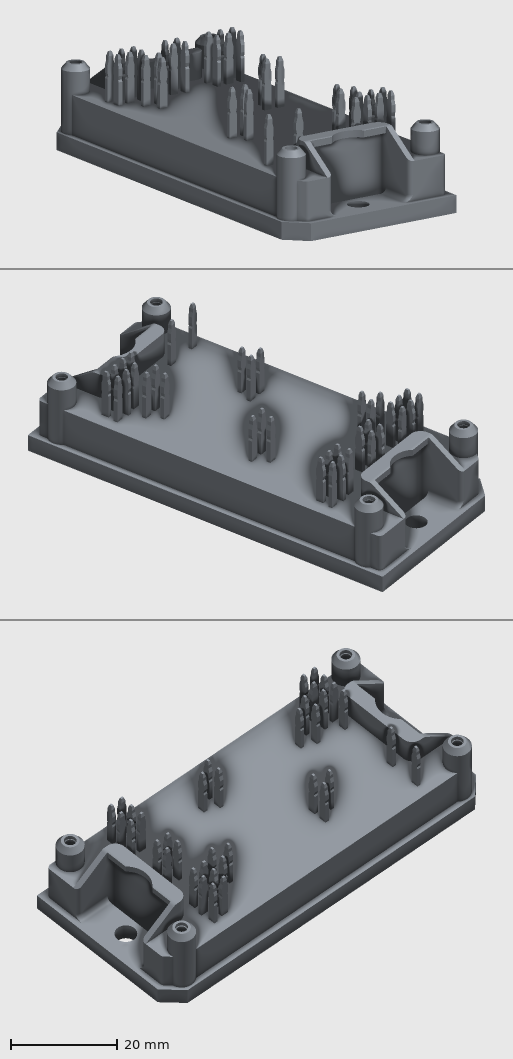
import cadquery as cq

QUARTER_TURN = 90

BASE_LENGTH = 82.0
BASE_WIDTH = 37.4
BASE_HEIGHT = 3.5
BASE_CORNER_CUT = 4.0
MOUNT_X = 35.5
MOUNT_HOLE_DIAMETER = 4.3

HOUSING_LENGTH = 79.4
HOUSING_WIDTH = 34.9
HOUSING_TOP = 11.35
HOUSING_CORNER_CUT = 3.0
HOUSING_CORNER_RADIUS = 1.0

BRACKET_TOP = 16.6
BRACKET_INNER_X = 28.75
BRACKET_WIDTH = 20.0
BRACKET_CORNER_RADIUS = 2.25
BRACKET_CREST_X = 32.1
BRACKET_CREST_RADIUS = 1.6

RECESS_WIDTH = 17.5
RECESS_INNER_X = 32.1
RECESS_EDGE_RADIUS = 1.0
FLOOR_FILLET_RADIUS = 1.2
LIP_BOTTOM = 15.2
LIP_NOTCH_RADIUS = 5.0
SLOT_INNER_X = 30.1
SLOT_CORNER_RADIUS = 0.9

POST_X = MOUNT_X
POST_Y = 15.4
POST_DIAMETER = 5.5
POST_TOP_DIAMETER = 3.5
POST_TOP = 17.1
POST_CONE_HEIGHT = 1.2
POST_HOLE_DIAMETER = 2.0
POST_HOLE_DEPTH = 6.0
POST_COUNTERBORE_DIAMETER = 2.4
POST_COUNTERBORE_DEPTH = 0.8

PIN_TOP = 21.23
PIN_WIDTH = 1.65
PIN_NECK_WIDTH = 1.3
PIN_TAPER_WIDTH = 1.1
PIN_TIP_WIDTH = 0.6
PIN_THICKNESS = 0.84
PIN_TIP_THICKNESS = 0.45
PIN_SHOULDER_Z = 16.0
PIN_NECK_Z = 16.4
PIN_PRESS_BOTTOM_Z = 17.2
PIN_PRESS_TOP_Z = 18.6
PIN_TAPER_END_Z = 19.6
PIN_TIP_Z = 20.4

PIN_PITCH = 2.7
GROUP_OUTER_X = 26.15
GROUP_INNER_X = GROUP_OUTER_X - PIN_PITCH
GROUP_Y = 11.35
SINGLE_PIN_YS = (6.0, -7.2, -14.05)

TRIO_PAIR_SPACING = 3.0
TRIO_SIDE_SPACING = 3.0
TRIO_SIDE_SHIFT = 0.25
TRIOS = (
    (-4.9, 8.65, -1),
    (19.8, 8.4, -1),
    (-19.95, -8.65, 1),
    (7.05, -7.65, 1),
)


def base_plate():
    """Rectangular plate with its two -Y corners cut off."""
    return (
        cq.Workplane("XY")
        .box(BASE_LENGTH, BASE_WIDTH, BASE_HEIGHT, centered=(True, True, False))
        .edges("|Z and <Y")
        .chamfer(BASE_CORNER_CUT)
    )


def housing():
    """Block with cut -Y corners; all its upright edges are rounded."""
    return (
        cq.Workplane("XY")
        .box(HOUSING_LENGTH, HOUSING_WIDTH, HOUSING_TOP, centered=(True, True, False))
        .edges("|Z and <Y")
        .chamfer(HOUSING_CORNER_CUT)
        .edges("|Z")
        .fillet(HOUSING_CORNER_RADIUS)
    )


def bracket():
    """Raised wall at the -X end whose top slopes down to the housing edge."""
    housing_end = HOUSING_LENGTH / 2
    slope_run = housing_end - BRACKET_CREST_X
    block = (
        cq.Workplane("XY")
        .box(housing_end - BRACKET_INNER_X, BRACKET_WIDTH, BRACKET_TOP, centered=(False, True, False))
        .translate((-housing_end, 0, 0))
        .edges("|Z and >X")
        .fillet(BRACKET_CORNER_RADIUS)
    )
    profile = (
        cq.Workplane("XZ")
        .moveTo(-housing_end, 0)
        .lineTo(-housing_end, HOUSING_TOP)
        .line(slope_run, BRACKET_TOP - HOUSING_TOP)
        .lineTo(-BRACKET_INNER_X, BRACKET_TOP)
        .lineTo(-BRACKET_INNER_X, 0)
        .close()
        .extrude(BRACKET_WIDTH / 2, both=True)
    )
    crest = cq.selectors.NearestToPointSelector((-BRACKET_CREST_X, 0, BRACKET_TOP))
    return block.intersect(profile.edges("|Y").edges(crest).fillet(BRACKET_CREST_RADIUS))


def recess_cut():
    """Open-ended screw recess at the -X end; its mouth flares out with rounded edges."""
    half_width = RECESS_WIDTH / 2
    mouth_x = -HOUSING_LENGTH / 2
    radius = RECESS_EDGE_RADIUS
    return (
        cq.Workplane("XY")
        .workplane(offset=BASE_HEIGHT)
        .moveTo(-RECESS_INNER_X, -half_width)
        .lineTo(mouth_x + radius, -half_width)
        .radiusArc((mouth_x, -half_width - radius), -radius)
        .lineTo(mouth_x, half_width + radius)
        .radiusArc((mouth_x + radius, half_width), -radius)
        .lineTo(-RECESS_INNER_X, half_width)
        .close()
        .extrude(BRACKET_TOP)
    )


def floor_fillet_profile(x):
    """Cross-section of the floor fillet in the plane at x: a square corner less a quarter circle."""
    half_width = RECESS_WIDTH / 2
    radius = FLOOR_FILLET_RADIUS
    return (
        cq.Workplane("YZ")
        .workplane(offset=x)
        .moveTo(half_width - radius, BASE_HEIGHT)
        .lineTo(half_width, BASE_HEIGHT)
        .lineTo(half_width, BASE_HEIGHT + radius)
        .radiusArc((half_width - radius, BASE_HEIGHT), radius)
        .close()
    )


def floor_fillet():
    """Concave fillet along the +Y side of the recess floor, turning with the rounded edge at the mouth."""
    turn_x = -HOUSING_LENGTH / 2 + RECESS_EDGE_RADIUS
    turn_y = RECESS_WIDTH / 2 + RECESS_EDGE_RADIUS
    straight = floor_fillet_profile(turn_x).extrude(-RECESS_INNER_X - turn_x)
    turn = floor_fillet_profile(turn_x).revolve(QUARTER_TURN, (turn_y, 0, 0), (turn_y, -1, 0))
    inside_mouth = cq.Workplane("XY").box(
        HOUSING_LENGTH, HOUSING_WIDTH, HOUSING_TOP, centered=(True, True, False)
    )
    return straight.union(turn.intersect(inside_mouth))


def slot_cut():
    """Slot under the lip, down through the base plate."""
    return (
        cq.Workplane("XY")
        .box(RECESS_INNER_X - SLOT_INNER_X, RECESS_WIDTH, LIP_BOTTOM, centered=(False, True, False))
        .translate((-RECESS_INNER_X, 0, 0))
        .edges("|Z and >X")
        .fillet(SLOT_CORNER_RADIUS)
    )


def upright_cylinder(x, y, diameter, bottom, top):
    return (
        cq.Workplane("XY")
        .workplane(offset=bottom)
        .center(x, y)
        .circle(diameter / 2)
        .extrude(top - bottom)
    )


def lip_notch_cut():
    """Screw-head clearance through the lip, concentric with the mounting hole."""
    return upright_cylinder(-MOUNT_X, 0, 2 * LIP_NOTCH_RADIUS, BASE_HEIGHT, BRACKET_TOP)


def post(x, y):
    """Round post with a conical top."""
    return (
        upright_cylinder(x, y, POST_DIAMETER, 0, POST_TOP)
        .faces(">Z")
        .chamfer(POST_CONE_HEIGHT, (POST_DIAMETER - POST_TOP_DIAMETER) / 2)
    )


def post_hole(x, y):
    """Blind hole with a shallow counterbore at the top of a post."""
    hole = upright_cylinder(x, y, POST_HOLE_DIAMETER, POST_TOP - POST_HOLE_DEPTH, POST_TOP)
    counterbore = upright_cylinder(
        x, y, POST_COUNTERBORE_DIAMETER, POST_TOP - POST_COUNTERBORE_DEPTH, POST_TOP
    )
    return hole.union(counterbore)


def symmetric_profile(plane, stations, depth):
    """Extrude, to both sides of the plane, an outline given as (width, height) from bottom to top."""
    right = [(width / 2, height) for width, height in stations]
    left = [(-x, z) for x, z in reversed(right)]
    return cq.Workplane(plane).polyline(right + left).close().extrude(depth, both=True)


def pin():
    """Press-fit pin at the origin, its wide side along X."""
    broad_side = symmetric_profile(
        "XZ",
        (
            (PIN_WIDTH, BASE_HEIGHT),
            (PIN_WIDTH, PIN_SHOULDER_Z),
            (PIN_NECK_WIDTH, PIN_NECK_Z),
            (PIN_WIDTH, PIN_PRESS_BOTTOM_Z),
            (PIN_WIDTH, PIN_PRESS_TOP_Z),
            (PIN_TAPER_WIDTH, PIN_TAPER_END_Z),
            (PIN_TAPER_WIDTH, PIN_TIP_Z),
            (PIN_TIP_WIDTH, PIN_TOP),
        ),
        PIN_THICKNESS,
    )
    narrow_side = symmetric_profile(
        "YZ",
        (
            (PIN_THICKNESS, BASE_HEIGHT),
            (PIN_THICKNESS, PIN_TIP_Z),
            (PIN_TIP_THICKNESS, PIN_TOP),
        ),
        PIN_WIDTH,
    )
    return broad_side.intersect(narrow_side)


def pin_places():
    """Pin positions as two lists: wide side along X and wide side along Y."""
    along_x = []
    along_y = []

    for left_x, centre_y in (
        (-GROUP_OUTER_X, GROUP_Y),
        (-GROUP_OUTER_X, -GROUP_Y),
        (GROUP_INNER_X, GROUP_Y),
    ):
        for row in (-1, 0, 1):
            y = centre_y + row * PIN_PITCH
            outer, inner = (left_x, y), (left_x + PIN_PITCH, y)
            along_x.append(outer if row == 0 else inner)
            along_y.append(inner if row == 0 else outer)

    half_pitch = PIN_PITCH / 2
    along_x += [(-GROUP_INNER_X, half_pitch), (-GROUP_OUTER_X, -half_pitch)]
    along_y += [(-GROUP_OUTER_X, half_pitch), (-GROUP_INNER_X, -half_pitch)]

    along_y += [(GROUP_OUTER_X, y) for y in SINGLE_PIN_YS]

    for pair_x, centre_y, side in TRIOS:
        along_y.append((pair_x, centre_y + TRIO_PAIR_SPACING / 2))
        along_y.append((pair_x, centre_y - TRIO_PAIR_SPACING / 2))
        along_y.append((pair_x + side * TRIO_SIDE_SPACING, centre_y + side * TRIO_SIDE_SHIFT))
    return along_x, along_y


def both_ends(body):
    """The -X end feature together with its mirror image at the +X end."""
    return body.union(body.mirror("YZ"))


result = base_plate().union(housing()).union(both_ends(bracket()))
result = result.cut(both_ends(recess_cut()))
fillet_pair = floor_fillet().union(floor_fillet().mirror("XZ"))
result = result.union(both_ends(fillet_pair))
for end_cut in (slot_cut(), lip_notch_cut()):
    result = result.cut(both_ends(end_cut))
mount_hole = upright_cylinder(-MOUNT_X, 0, MOUNT_HOLE_DIAMETER, 0, BASE_HEIGHT)
result = result.cut(both_ends(mount_hole))

for post_x in (-POST_X, POST_X):
    for post_y in (-POST_Y, POST_Y):
        result = result.union(post(post_x, post_y)).cut(post_hole(post_x, post_y))

pin_along_x = pin()
pin_along_y = pin_along_x.rotate((0, 0, 0), (0, 0, 1), QUARTER_TURN)
places_along_x, places_along_y = pin_places()
for pin_body, places in ((pin_along_x, places_along_x), (pin_along_y, places_along_y)):
    for x, y in places:
        result = result.union(pin_body.translate((x, y, 0)))